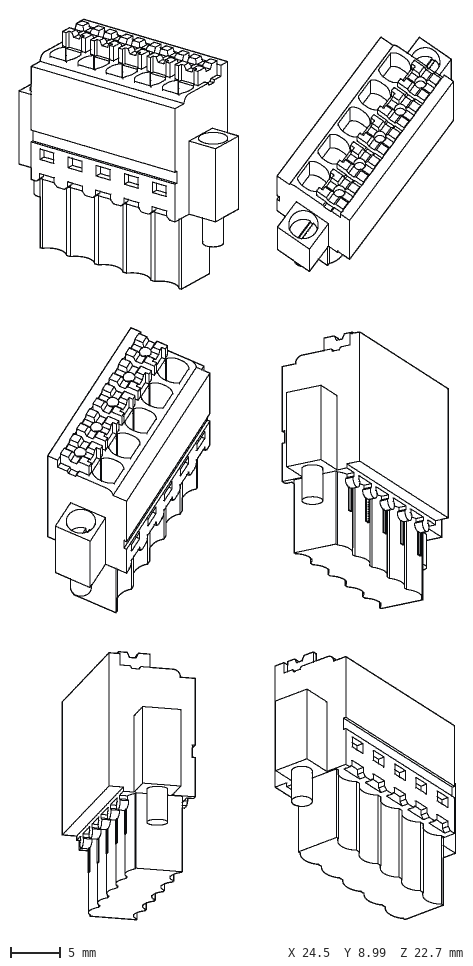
import cadquery as cq
import math


POLES = 5
PITCH = 3.5
pole_positions = [(i - (POLES - 1) / 2) * PITCH for i in range(POLES)]
TOP_SHIFT = 0.05
top_positions = [x + TOP_SHIFT for x in pole_positions]

OVERALL_LENGTH = 24.5
HOUSING_LENGTH = 17.93
FRONT_Y = -4.39
BACK_Y = 4.6
WALL_FRONT_Y = 3.45
WALL_TOP_Z = 14.43
DECK_Z = 13.23
SHOULDER_Z = 12.45
ROUND_END_Y = -2.85
ROUND_RADIUS = DECK_Z - SHOULDER_Z
REAR_STEP_Y = 3.1
REAR_STEP_Z = 0.45

LABEL_GROOVE_BOTTOM_Z = 4.15
LABEL_GROOVE_TOP_Z = 5.45
LABEL_GROOVE_DEPTH = 0.3
WINDOW_WIDTH = 1.72
WINDOW_BOTTOM_Z = 2.5
WINDOW_TOP_Z = 3.65
FRONT_RECESS_DEPTH = 0.74
NOTCH_WIDTH = 1.84
NOTCH_HEIGHT = 0.93
NOTCH_FLARE = 0.37

DECK_GROOVE_Y = 1.84
DECK_GROOVE_TOP_WIDTH = 1.08
DECK_GROOVE_FLOOR_WIDTH = 0.78
DECK_GROOVE_DEPTH = 0.27

ENTRY_RADIUS = 1.45
ENTRY_REAR_CENTRE_Y = -1.03
ENTRY_FRONT_CENTRE_Y = -1.47
ENTRY_FRONT_Y = -2.47
ENTRY_DEPTH = 4.9
LEDGE_DROP = 0.17

BUTTON_WIDTH = 2.87
BUTTON_FRONT_Y = 0.17
BUTTON_TOP_Z = 14.8
BUTTON_SEAT_DEPTH = 0.98
BUTTON_RECESS_WIDTH = 1.9
BUTTON_RECESS_DEPTH = 0.45
CROSS_GROOVE_Y = 1.95
CROSS_GROOVE_TOP_WIDTH = 1.18
CROSS_GROOVE_FLOOR_WIDTH = 0.69
CROSS_GROOVE_DEPTH = 0.51
DIMPLE_RADIUS = 0.6
DIMPLE_DEPTH = 1.95

PLUG_LENGTH = 17.6
PLUG_BOTTOM_Z = -7.91
PLUG_FRONT_Y = -3.09
PLUG_REAR_Y = 1.76
FLUTE_WIDTH = 3.01
FLUTE_DEPTH = 0.74
LOBE_HEIGHT = 0.56

TAB_NECK_WIDTH = 0.98
TAB_NECK_HEIGHT = 0.37
TAB_SHOULDER = 0.2
TAB_BOTTOM_Z = -1.37
RIB_WIDTH = 0.5
RIB_HEIGHT = 0.07
RIB_BOTTOM_Z = -3.82

FLANGE_WIDTH = 3.97
FLANGE_TOP_Z = 8.04
SCREW_X = 3 * PITCH
HEAD_RADIUS = 1.47
HEAD_BOTTOM_Z = 2.95
HEAD_HEIGHT = 1.95
SHANK_RADIUS = 1.05
SHANK_BOTTOM_Z = -3.45
DRIVER_SLOT_WIDTH = 0.37
DRIVER_SLOT_DEPTH = 0.5


def box(x0, x1, y0, y1, z0, z1):
    """Box between two opposite corners."""
    return cq.Workplane("XY").box(x1 - x0, y1 - y0, z1 - z0, centered=False).translate((x0, y0, z0))


def extrude_along_y(profile, y0, y1):
    """Extrude a closed XZ profile from y0 back to y1."""
    return profile.extrude(y0 - y1).translate((0, y0, 0))


def groove_profile(plane, centre, top_z, top_width, floor_width, depth):
    """Closed trapezium with its wide side at top_z."""
    floor_z = top_z - depth
    return cq.Workplane(plane).polyline([
        (centre - top_width / 2, top_z),
        (centre + top_width / 2, top_z),
        (centre + floor_width / 2, floor_z),
        (centre - floor_width / 2, floor_z),
    ]).close()


def housing_block():
    """Constant side profile with the rear wall, the rounded deck edge and the label groove."""
    round_start_y = ROUND_END_Y + ROUND_RADIUS
    diagonal = ROUND_RADIUS * math.sqrt(0.5)
    label_floor_y = FRONT_Y + LABEL_GROOVE_DEPTH
    profile = (
        cq.Workplane("YZ")
        .moveTo(FRONT_Y, 0)
        .lineTo(FRONT_Y, LABEL_GROOVE_BOTTOM_Z)
        .lineTo(label_floor_y, LABEL_GROOVE_BOTTOM_Z)
        .lineTo(label_floor_y, LABEL_GROOVE_TOP_Z)
        .lineTo(FRONT_Y, LABEL_GROOVE_TOP_Z)
        .lineTo(FRONT_Y, SHOULDER_Z)
        .lineTo(ROUND_END_Y, SHOULDER_Z)
        .threePointArc((round_start_y - diagonal, SHOULDER_Z + diagonal), (round_start_y, DECK_Z))
        .lineTo(WALL_FRONT_Y, DECK_Z)
        .lineTo(WALL_FRONT_Y, WALL_TOP_Z)
        .lineTo(BACK_Y, WALL_TOP_Z)
        .lineTo(BACK_Y, REAR_STEP_Z)
        .lineTo(REAR_STEP_Y, REAR_STEP_Z)
        .lineTo(REAR_STEP_Y, 0)
        .close()
    )
    block = profile.extrude(HOUSING_LENGTH / 2, both=True)
    deck_groove = groove_profile(
        "YZ", DECK_GROOVE_Y, DECK_Z, DECK_GROOVE_TOP_WIDTH, DECK_GROOVE_FLOOR_WIDTH, DECK_GROOVE_DEPTH
    )
    return block.cut(deck_groove.extrude(HOUSING_LENGTH / 2, both=True))


def plug():
    """Plug body with a concave flute at the front and a convex lobe at the rear of each pole."""
    half_length = PLUG_LENGTH / 2
    half_chord = FLUTE_WIDTH / 2
    outline = cq.Workplane("XY").moveTo(-half_length, PLUG_FRONT_Y)
    for x in pole_positions:
        outline = outline.lineTo(x - half_chord, PLUG_FRONT_Y).threePointArc(
            (x, PLUG_FRONT_Y + FLUTE_DEPTH), (x + half_chord, PLUG_FRONT_Y)
        )
    outline = outline.lineTo(half_length, PLUG_FRONT_Y).lineTo(half_length, PLUG_REAR_Y)
    for x in reversed(pole_positions):
        outline = outline.lineTo(x + half_chord, PLUG_REAR_Y).threePointArc(
            (x, PLUG_REAR_Y + LOBE_HEIGHT), (x - half_chord, PLUG_REAR_Y)
        )
    return outline.lineTo(-half_length, PLUG_REAR_Y).close().extrude(PLUG_BOTTOM_Z)


def coding_tab(x):
    """Round-ended tab behind the plug, with a thin rib running down from it."""
    neck = TAB_NECK_WIDTH / 2
    bulb = neck + TAB_SHOULDER
    bulb_z = -TAB_NECK_HEIGHT - TAB_SHOULDER
    profile = (
        cq.Workplane("XZ")
        .moveTo(x - neck, 0)
        .lineTo(x - neck, -TAB_NECK_HEIGHT)
        .lineTo(x - bulb, bulb_z)
        .threePointArc((x, TAB_BOTTOM_Z), (x + bulb, bulb_z))
        .lineTo(x + neck, -TAB_NECK_HEIGHT)
        .lineTo(x + neck, 0)
        .close()
    )
    tab = extrude_along_y(profile, PLUG_REAR_Y, REAR_STEP_Y)
    rib_rear_y = PLUG_REAR_Y + LOBE_HEIGHT + RIB_HEIGHT
    rib = box(x - RIB_WIDTH / 2, x + RIB_WIDTH / 2, PLUG_REAR_Y, rib_rear_y, RIB_BOTTOM_Z, 0)
    return tab.union(rib)


def flanges():
    """Bar through the housing that forms the screw flange at each end."""
    half_length = OVERALL_LENGTH / 2
    return box(-half_length, half_length, -FLANGE_WIDTH / 2, FLANGE_WIDTH / 2, 0, FLANGE_TOP_Z)


def front_window(x):
    """Blind rectangular pocket in the front face."""
    half_width = WINDOW_WIDTH / 2
    recess_y = FRONT_Y + FRONT_RECESS_DEPTH
    return box(x - half_width, x + half_width, FRONT_Y, recess_y, WINDOW_BOTTOM_Z, WINDOW_TOP_Z)


def front_notch(x):
    """Notch in the lower front edge, with a flared mouth."""
    neck = NOTCH_WIDTH / 2
    mouth = neck + NOTCH_FLARE
    profile = cq.Workplane("XZ").polyline([
        (x - mouth, 0),
        (x - neck, NOTCH_FLARE),
        (x - neck, NOTCH_HEIGHT),
        (x + neck, NOTCH_HEIGHT),
        (x + neck, NOTCH_FLARE),
        (x + mouth, 0),
    ]).close()
    return extrude_along_y(profile, FRONT_Y, FRONT_Y + FRONT_RECESS_DEPTH)


def wire_entry(x):
    """Round-sided blind hole with a flat at the front and a square-cornered rear, plus its ledge."""
    length = ENTRY_REAR_CENTRE_Y - ENTRY_FRONT_CENTRE_Y + 2 * ENTRY_RADIUS
    centre_y = (ENTRY_REAR_CENTRE_Y + ENTRY_FRONT_CENTRE_Y) / 2
    floor_z = DECK_Z - ENTRY_DEPTH
    slot = (
        cq.Workplane("XY", origin=(x, centre_y, floor_z))
        .slot2D(length, 2 * ENTRY_RADIUS, 90)
        .extrude(ENTRY_DEPTH)
    )
    limits = box(x - ENTRY_RADIUS, x + ENTRY_RADIUS, ENTRY_FRONT_Y, BUTTON_FRONT_Y, floor_z, DECK_Z)
    half_rear = BUTTON_RECESS_WIDTH / 2
    rear = box(x - half_rear, x + half_rear, ENTRY_REAR_CENTRE_Y, BUTTON_FRONT_Y, floor_z, DECK_Z)
    recess_y = BUTTON_FRONT_Y + BUTTON_RECESS_DEPTH
    ledge = box(x - half_rear, x + half_rear, BUTTON_FRONT_Y, recess_y, DECK_Z - LEDGE_DROP, DECK_Z)
    return slot.intersect(limits).union(rear).union(ledge)


def button_blank(x):
    """Button outline, recessed at the middle of its front; also the shape of its seat."""
    half_width = BUTTON_WIDTH / 2
    half_recess = BUTTON_RECESS_WIDTH / 2
    recess_y = BUTTON_FRONT_Y + BUTTON_RECESS_DEPTH
    seat_z = DECK_Z - BUTTON_SEAT_DEPTH
    body = box(x - half_width, x + half_width, BUTTON_FRONT_Y, WALL_FRONT_Y, seat_z, BUTTON_TOP_Z)
    return body.cut(box(x - half_recess, x + half_recess, BUTTON_FRONT_Y, recess_y, seat_z, BUTTON_TOP_Z))


def make_button(x):
    """Release button with crossed screwdriver grooves and a round dimple where they meet."""
    sizes = (BUTTON_TOP_Z, CROSS_GROOVE_TOP_WIDTH, CROSS_GROOVE_FLOOR_WIDTH, CROSS_GROOVE_DEPTH)
    groove_along_y = extrude_along_y(groove_profile("XZ", x, *sizes), BUTTON_FRONT_Y, WALL_FRONT_Y)
    groove_along_x = (
        groove_profile("YZ", CROSS_GROOVE_Y, *sizes)
        .extrude(BUTTON_WIDTH / 2, both=True)
        .translate((x, 0, 0))
    )
    dimple = (
        cq.Workplane("XY", origin=(x, CROSS_GROOVE_Y, BUTTON_TOP_Z))
        .circle(DIMPLE_RADIUS)
        .extrude(-DIMPLE_DEPTH)
    )
    return button_blank(x).cut(groove_along_y).cut(groove_along_x).cut(dimple)


def screw_hole(x):
    """Counterbored clearance for one flange screw."""
    shank = cq.Workplane("XY").center(x, 0).circle(SHANK_RADIUS).extrude(HEAD_BOTTOM_Z)
    head = (
        cq.Workplane("XY", origin=(x, 0, HEAD_BOTTOM_Z))
        .circle(HEAD_RADIUS)
        .extrude(FLANGE_TOP_Z - HEAD_BOTTOM_Z)
    )
    return shank.union(head)


def make_screw(x):
    """Slotted cylinder-head screw sunk in its flange."""
    head_top_z = HEAD_BOTTOM_Z + HEAD_HEIGHT
    shank = (
        cq.Workplane("XY", origin=(x, 0, SHANK_BOTTOM_Z))
        .circle(SHANK_RADIUS)
        .extrude(HEAD_BOTTOM_Z - SHANK_BOTTOM_Z)
    )
    head = cq.Workplane("XY", origin=(x, 0, HEAD_BOTTOM_Z)).circle(HEAD_RADIUS).extrude(HEAD_HEIGHT)
    half_slot = DRIVER_SLOT_WIDTH / 2
    slot_floor_z = head_top_z - DRIVER_SLOT_DEPTH
    slot = box(x - HEAD_RADIUS, x + HEAD_RADIUS, -half_slot, half_slot, slot_floor_z, head_top_z)
    return shank.union(head).cut(slot)


def make_housing():
    """Housing, plug and flanges in one piece, with the openings of every pole."""
    body = housing_block().union(flanges()).union(plug())
    for x in pole_positions:
        body = body.union(coding_tab(x))
        body = body.cut(front_window(x)).cut(front_notch(x))
    for x in top_positions:
        body = body.cut(wire_entry(x)).cut(button_blank(x))
    for x in (-SCREW_X, SCREW_X):
        body = body.cut(screw_hole(x))
    return body


housing = make_housing()
buttons = [make_button(x) for x in top_positions]
screws = [make_screw(x) for x in (-SCREW_X, SCREW_X)]

result = cq.Compound.makeCompound([
    housing.val(),
    *[button.val() for button in buttons],
    *[screw.val() for screw in screws],
])